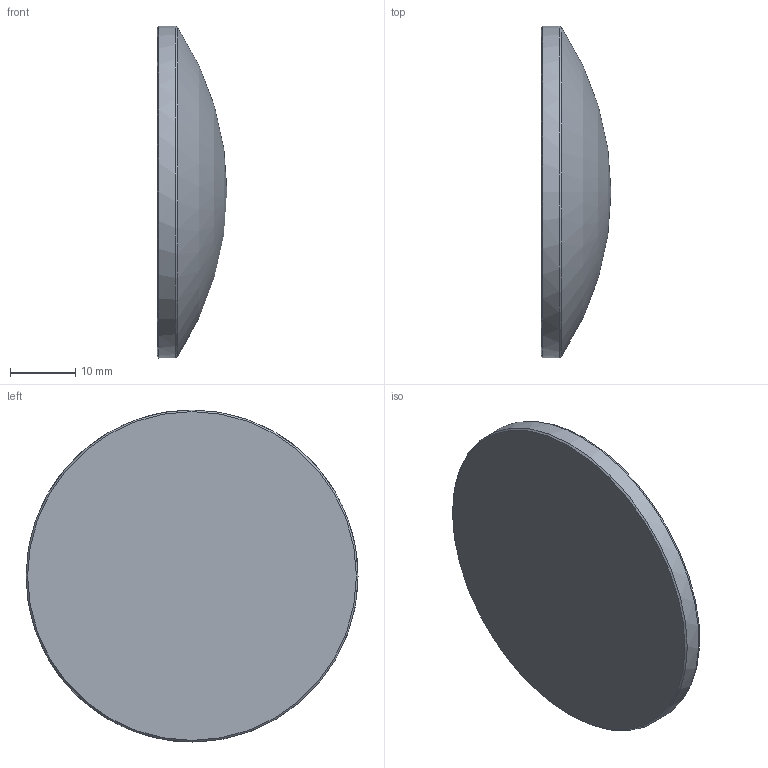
import cadquery as cq
import math

diameter = 50.8
center_thickness = 10.7
edge_thickness = 3.0
bevel = 0.25

rim_radius = diameter / 2
dome_height = center_thickness - edge_thickness
sphere_radius = (rim_radius**2 + dome_height**2) / (2 * dome_height)


def dome_midpoint():
    """Point on the spherical dome halfway (by angle) between its edge and apex."""
    half_angle = math.asin(rim_radius / sphere_radius) / 2
    sphere_center_x = center_thickness - sphere_radius
    return (
        sphere_center_x + sphere_radius * math.cos(half_angle),
        sphere_radius * math.sin(half_angle),
    )


def lens_blank():
    """Revolve the half profile (X along the axis, Z as radius) about the X axis."""
    profile = (
        cq.Workplane("XZ")
        .lineTo(0, rim_radius)
        .lineTo(edge_thickness, rim_radius)
        .threePointArc(dome_midpoint(), (center_thickness, 0))
        .close()
    )
    return profile.revolve(360, (0, 0, 0), (1, 0, 0))


def bevel_rim(blank):
    """Bevel the two circular edges where the rim meets the flat face and the dome."""
    rim_cylinder = blank.faces("%CYLINDER")
    return rim_cylinder.edges("%CIRCLE").chamfer(bevel)


result = bevel_rim(lens_blank())